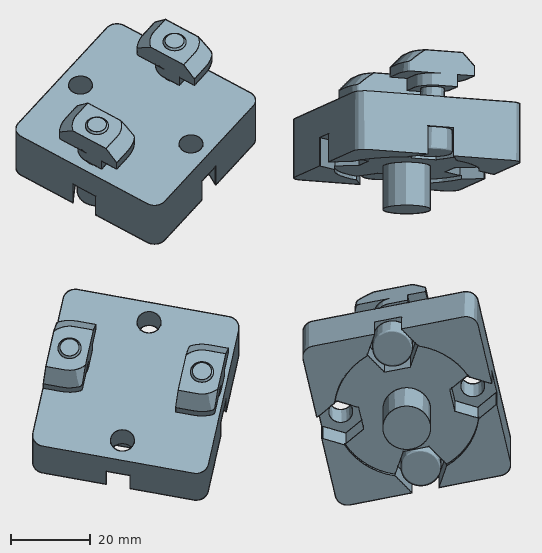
import cadquery as cq
import math

side = 45.0
block_height = 15.0
corner_radius = 3.15

pilot_diameter = 12.0
pilot_drop = 10.05
recess_diameter = 36.45
recess_depth = 0.95

pattern_radius = 16.95
hole_diameter = 6.0

pocket_depth = 7.25
nut_hex_side = 6.08
screw_hex_side = 6.6

screw_diameter = hole_diameter
screw_rise = 12.3
screw_tip_chamfer = 0.6
head_diameter = 10.0
head_height = 5.85
head_fillet = 0.5

clamp_width = 9.7
clamp_half_width = clamp_width / 2
stem_bottom = 2.92
plate_bottom = 6.05
shoulder_height = 8.5
plate_top = 11.8
stem_corner_radius = 5.0
plate_radius = 9.5
plate_edge_fillet = 1.0
plate_top_radius = plate_radius - (plate_top - shoulder_height)


def cylinder(diameter, height, bottom):
    """Upright cylinder on the Z axis."""
    return cq.Workplane("XY").workplane(offset=bottom).circle(diameter / 2).extrude(height)


def hex_pocket(hex_side):
    """Hexagonal pocket at -X with two flats square to X.

    A pocket that stops short of the block side gets a window as wide as one flat.
    """
    hexagon = (
        cq.Workplane("XY")
        .polygon(6, 2 * hex_side)
        .extrude(pocket_depth)
        .rotate((0, 0, 0), (0, 0, 1), 30)
        .translate((-pattern_radius, 0, 0))
    )
    flat_x = -pattern_radius - hex_side * math.cos(math.radians(30))
    window_length = flat_x + side / 2
    if window_length <= 0:
        return hexagon
    window = cq.Workplane("XY").box(
        window_length, hex_side, pocket_depth, centered=(False, True, False)
    )
    return hexagon.union(window.translate((-side / 2, 0, 0)))


def block():
    """Block with its recess, bolt holes and side pockets, standing on Z = 0."""
    body = cq.Workplane("XY").box(side, side, block_height, centered=(True, True, False))
    body = body.edges("|Z").fillet(corner_radius)
    body = body.cut(cylinder(recess_diameter, recess_depth, 0))
    bolt_hole = cylinder(hole_diameter, block_height, 0)
    for turn in (0, 180):
        pocket = hex_pocket(nut_hex_side).union(bolt_hole.translate((-pattern_radius, 0, 0)))
        body = body.cut(pocket.rotate((0, 0, 0), (0, 0, 1), turn))
        body = body.cut(hex_pocket(screw_hex_side).rotate((0, 0, 0), (0, 0, 1), turn + 90))
    return body


def screw():
    """Clamp screw with its head against the pocket ceiling."""
    shank_length = block_height + screw_rise - pocket_depth
    shank = cylinder(screw_diameter, shank_length, pocket_depth)
    shank = shank.faces(">Z").chamfer(screw_tip_chamfer)
    head = cylinder(head_diameter, head_height, pocket_depth - head_height)
    head = head.faces("<Z").edges().fillet(head_fillet)
    return shank.union(head)


def rounded_corners(prism, radius):
    """Round the (-X, -Y) and (+X, +Y) upright edges; the other two stay square."""
    for corner in ("<(1, 1, 0)", ">(1, 1, 0)"):
        prism = prism.edges("|Z").edges(corner).fillet(radius)
    return prism


def clamp_stem():
    """Square stem under the plate that can turn one way in a groove."""
    stem = cq.Workplane("XY").rect(clamp_width, clamp_width).extrude(plate_bottom - stem_bottom)
    return rounded_corners(stem, stem_corner_radius).translate((0, 0, stem_bottom))


def clamp_plate():
    """Plate with 45 degree end slopes, flat on two quadrants and conical on the other two."""
    half_profile = [
        (0, plate_bottom),
        (plate_radius, plate_bottom),
        (plate_radius, shoulder_height),
        (plate_top_radius, plate_top),
        (0, plate_top),
    ]
    turned = cq.Workplane("XZ").polyline(half_profile).close().revolve(360, (0, 0, 0), (0, 1, 0))
    straight = cq.Workplane("XZ").polyline(half_profile).close().extrude(clamp_half_width)
    straight = straight.union(straight.rotate((0, 0, 0), (0, 0, 1), 180))

    arc_end = math.sqrt(plate_radius**2 - clamp_half_width**2)
    half_arc_angle = math.asin(clamp_half_width / plate_radius) / 2
    arc_middle = (plate_radius * math.cos(half_arc_angle), plate_radius * math.sin(half_arc_angle))
    outline = (
        cq.Workplane("XY")
        .moveTo(-plate_radius, clamp_half_width)
        .lineTo(-plate_radius, 0)
        .threePointArc((-arc_middle[0], -arc_middle[1]), (-arc_end, -clamp_half_width))
        .lineTo(plate_radius, -clamp_half_width)
        .lineTo(plate_radius, 0)
        .threePointArc(arc_middle, (arc_end, clamp_half_width))
        .close()
        .extrude(plate_top)
    )
    outline = rounded_corners(outline, plate_edge_fillet)
    return turned.union(straight).intersect(outline)


def clamp_assembly():
    """Clamp on its screw, centred on the Z axis."""
    clamp = clamp_stem().union(clamp_plate()).translate((0, 0, block_height))
    return screw().union(clamp)


result = block().union(cylinder(pilot_diameter, pilot_drop + recess_depth, -pilot_drop))
for clamp_y in (-pattern_radius, pattern_radius):
    result = result.union(clamp_assembly().translate((0, clamp_y, 0)))